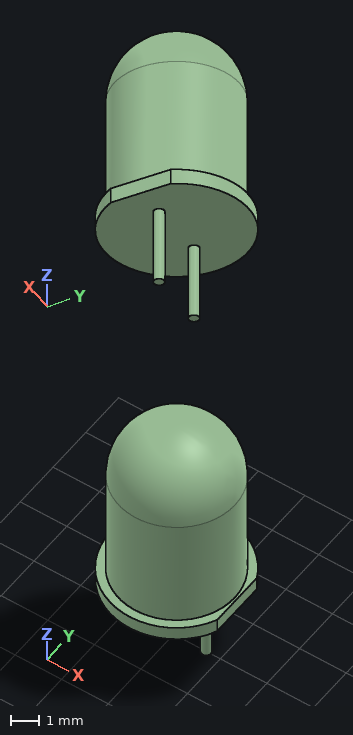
import cadquery as cq

total_height = 11.0
body_radius = 2.5
flange_radius = 2.86
flange_thickness = 0.6
flat_offset = 2.6
lead_length = 3.0
lead_diameter = 0.42
lead_spacing = 2.54

dome_base = total_height - body_radius
flange_top = lead_length + flange_thickness


def make_lens():
    """Cylindrical body closed by a hemispherical dome."""
    body_height = dome_base - flange_top
    body = cq.Workplane("XY").workplane(offset=flange_top).circle(body_radius).extrude(body_height)
    dome = (
        cq.Workplane("XZ")
        .moveTo(0, dome_base)
        .lineTo(body_radius, dome_base)
        .radiusArc((0, total_height), -body_radius)
        .close()
        .revolve(360, (0, 0, 0), (0, 1, 0))
    )
    return body.union(dome)


def make_flange():
    """Disc at the foot of the body, cut flat on the +X side."""
    disc = cq.Workplane("XY").workplane(offset=lead_length).circle(flange_radius).extrude(flange_thickness)
    kept_width = flange_radius + flat_offset
    kept_block = cq.Workplane("XY").box(
        kept_width, 2 * flange_radius, flange_top, centered=(False, True, False)
    ).translate((-flange_radius, 0, 0))
    return disc.intersect(kept_block)


def make_leads():
    """Pair of round leads, spaced along X."""
    lead_positions = [(-lead_spacing / 2, 0), (lead_spacing / 2, 0)]
    return cq.Workplane("XY").pushPoints(lead_positions).circle(lead_diameter / 2).extrude(lead_length)


result = make_flange().union(make_lens()).union(make_leads())